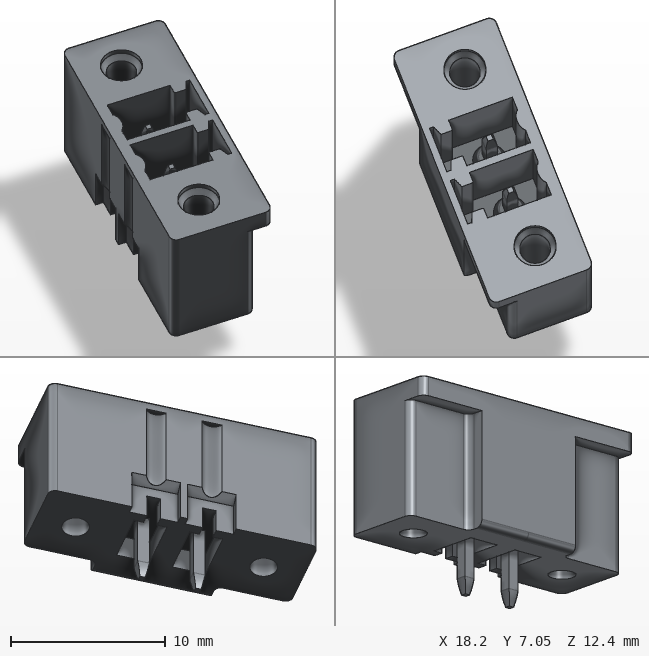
import cadquery as cq
import math


LENGTH = 18.21
DEPTH = 7.05
HEIGHT = 9.2
FRONT_Y = -3.02
BACK_Y = FRONT_Y + DEPTH
CORNER_RADIUS = 0.5

FLANGE_THICKNESS = 1.31
STEP_RADIUS = 0.5
STEP_DEPTH = 1.25
TONGUE_BACK_RADIUS = 0.5
FLANGE_Z = HEIGHT - FLANGE_THICKNESS
STEP_Y = BACK_Y - STEP_DEPTH

PITCH = 3.79
POLE_XS = (-PITCH / 2, PITCH / 2)

POCKET_WIDTH = 3.3
POCKET_HALF_DEPTH = 2.2
FLOOR_Z = 2.95
NECK_WIDTH = 1.84
NECK_EDGE_RADIUS = 0.1
NECK_END_Y = 3.0
LATCH_WIDTH = 3.15
LATCH_FLARE_END_Y = 3.28
LATCH_BACK_Y = 3.55
RIDGE_WIDTH = 1.51
RIDGE_HEIGHT = 0.3

POCKET_GAP = PITCH - POCKET_WIDTH
TONGUE_WIDTH = PITCH + POCKET_WIDTH + 2 * POCKET_GAP

COLLAR_BASE_DIAMETER = 2.19
COLLAR_TOP_DIAMETER = 1.62
COLLAR_HEIGHT = 0.82
COLLAR_EDGE_RADIUS = 0.15

GROOVE_WIDTH = 1.35
GROOVE_RADIUS = 0.8
GROOVE_TOP_Z = 8.65
NOTCH_DEPTH = 0.55
NOTCH_FRONT_Z = 2.95
NOTCH_REAR_Z = NOTCH_FRONT_Z - NOTCH_DEPTH

CAVITY_WIDTH = 2.25
CAVITY_HALF_DEPTH = 1.8
CAVITY_HEIGHT = 1.7
SLOT_WIDTH = 0.93

SCREW_SPACING = 12.78
SCREW_HOLE_DIAMETER = 1.97
SCREW_EXIT_DIAMETER = 1.8
SCREW_EXIT_HEIGHT = 1.7
SCREW_MOUTH_DIAMETER = 2.71
SCREW_MOUTH_DEPTH = 0.33
SCREW_CONE_DEPTH = 0.33

PIN_WIDTH = 0.8
PIN_THICKNESS = 0.76
PIN_END_WIDTH = 0.36
PIN_TIP_LENGTH = 1.11
PIN_BOTTOM_Z = -3.2
PIN_TOP_Z = 7.85


def box(x_range, y_range, z_range):
    """Box between two limits along each axis."""
    size = [high - low for low, high in (x_range, y_range, z_range)]
    corner = (x_range[0], y_range[0], z_range[0])
    return cq.Workplane("XY").box(*size, centered=False).translate(corner)


def pole_box(x, width, y_range, z_range):
    """Box of a given width centred on a pole."""
    return box((x - width / 2, x + width / 2), y_range, z_range)


def block():
    """Outer block with rounded upright corners and a narrower tongue under the flange."""
    body = box((-LENGTH / 2, LENGTH / 2), (FRONT_Y, BACK_Y), (0, HEIGHT))
    body = body.edges("|Z").fillet(CORNER_RADIUS)
    for side in (-1, 1):
        body = body.cut(corner_recess(side))
    return body.cut(tongue_edge_trim())


def corner_recess(side):
    """Rear corner recess beside the tongue, rounded at the side wall and filleted at the tongue."""
    outer_x = side * LENGTH / 2
    inner_x = side * TONGUE_WIDTH / 2
    round_x = outer_x - side * STEP_RADIUS
    fillet_x = inner_x + side * STEP_RADIUS
    round_start_y = STEP_Y - STEP_RADIUS
    fillet_end_y = STEP_Y + STEP_RADIUS
    arc = STEP_RADIUS * math.sqrt(0.5)
    return (
        cq.Workplane("XY")
        .moveTo(inner_x, BACK_Y)
        .lineTo(inner_x, fillet_end_y)
        .threePointArc((fillet_x - side * arc, fillet_end_y - arc), (fillet_x, STEP_Y))
        .lineTo(round_x, STEP_Y)
        .threePointArc((round_x + side * arc, round_start_y + arc), (outer_x, round_start_y))
        .lineTo(outer_x, BACK_Y)
        .close()
        .extrude(FLANGE_Z)
    )


def tongue_edge_trim():
    """Material outside the round on the rear bottom edge of the tongue."""
    radius = TONGUE_BACK_RADIUS
    corner = box((-LENGTH / 2, LENGTH / 2), (BACK_Y - radius, BACK_Y), (0, radius))
    roller = (
        cq.Workplane("YZ")
        .center(BACK_Y - radius, radius)
        .circle(radius)
        .extrude(LENGTH / 2, both=True)
    )
    return corner.cut(roller)


def pocket(x):
    """Pocket with a ridge on its front wall and a flared latch channel at its back."""
    wide = POCKET_WIDTH / 2
    neck = NECK_WIDTH / 2
    latch = LATCH_WIDTH / 2
    ridge = RIDGE_WIDTH / 2
    front = -POCKET_HALF_DEPTH
    opening = (
        cq.Workplane("XY", origin=(x, 0, FLOOR_Z))
        .moveTo(-wide, front)
        .lineTo(-ridge, front)
        .threePointArc((0, front + RIDGE_HEIGHT), (ridge, front))
        .lineTo(wide, front)
        .lineTo(wide, POCKET_HALF_DEPTH)
        .lineTo(neck, POCKET_HALF_DEPTH)
        .lineTo(neck, NECK_END_Y)
        .lineTo(latch, LATCH_FLARE_END_Y)
        .lineTo(latch, LATCH_BACK_Y)
        .lineTo(-latch, LATCH_BACK_Y)
        .lineTo(-latch, LATCH_FLARE_END_Y)
        .lineTo(-neck, NECK_END_Y)
        .lineTo(-neck, POCKET_HALF_DEPTH)
        .lineTo(-wide, POCKET_HALF_DEPTH)
        .close()
        .extrude(HEIGHT - FLOOR_Z)
    )
    for shoulder_x in (x - neck, x + neck):
        shoulder = (shoulder_x, POCKET_HALF_DEPTH, (FLOOR_Z + HEIGHT) / 2)
        nearest_edge = cq.selectors.NearestToPointSelector(shoulder)
        opening = opening.edges(nearest_edge).fillet(NECK_EDGE_RADIUS)
    return opening


def collar(x):
    """Tapered collar with a rounded top edge."""
    base = cq.Workplane("XY", origin=(x, 0, FLOOR_Z)).circle(COLLAR_BASE_DIAMETER / 2)
    cone = base.workplane(offset=COLLAR_HEIGHT).circle(COLLAR_TOP_DIAMETER / 2).loft()
    return cone.edges(">Z").fillet(COLLAR_EDGE_RADIUS)


def groove(x):
    """Round upright groove in the front face, running down into the notch."""
    centre_y = FRONT_Y - math.sqrt(GROOVE_RADIUS**2 - (GROOVE_WIDTH / 2) ** 2)
    return cq.Workplane("XY", origin=(x, centre_y, 0)).circle(GROOVE_RADIUS).extrude(GROOVE_TOP_Z)


def notch(x):
    """Notch at the foot of the front face, with a sloped ceiling."""
    return (
        cq.Workplane("YZ", origin=(x, 0, 0))
        .moveTo(FRONT_Y, 0)
        .lineTo(FRONT_Y + NOTCH_DEPTH, 0)
        .lineTo(FRONT_Y + NOTCH_DEPTH, NOTCH_REAR_Z)
        .lineTo(FRONT_Y, NOTCH_FRONT_Z)
        .close()
        .extrude(POCKET_WIDTH / 2, both=True)
    )


def underside(x):
    """Cavity under the floor and the slot that opens it to the front."""
    cavity = pole_box(x, CAVITY_WIDTH, (-CAVITY_HALF_DEPTH, CAVITY_HALF_DEPTH), (0, CAVITY_HEIGHT))
    slot = pole_box(x, SLOT_WIDTH, (FRONT_Y, 0), (0, CAVITY_HEIGHT))
    return cavity.union(slot)


def screw_hole(x):
    """Through hole with a short wide mouth, a cone and a slightly narrower exit."""
    cone_top_z = HEIGHT - SCREW_MOUTH_DEPTH
    profile = [
        (0, 0),
        (SCREW_EXIT_DIAMETER / 2, 0),
        (SCREW_EXIT_DIAMETER / 2, SCREW_EXIT_HEIGHT),
        (SCREW_HOLE_DIAMETER / 2, SCREW_EXIT_HEIGHT),
        (SCREW_HOLE_DIAMETER / 2, cone_top_z - SCREW_CONE_DEPTH),
        (SCREW_MOUTH_DIAMETER / 2, cone_top_z),
        (SCREW_MOUTH_DIAMETER / 2, HEIGHT),
        (0, HEIGHT),
    ]
    tool = cq.Workplane("XZ").polyline(profile).close().revolve(360, (0, 0, 0), (0, 1, 0))
    return tool.translate((x, 0, 0))


def make_pin(x):
    """Bar pin with flat tapers on its sides and rounded tapers on its front and back."""
    side = PIN_WIDTH / 2
    face = PIN_THICKNESS / 2
    end = PIN_END_WIDTH / 2
    low_z = PIN_BOTTOM_Z + PIN_TIP_LENGTH
    high_z = PIN_TOP_Z - PIN_TIP_LENGTH
    flat_tapers = (
        cq.Workplane("XZ")
        .moveTo(-end, PIN_BOTTOM_Z)
        .lineTo(end, PIN_BOTTOM_Z)
        .lineTo(side, low_z)
        .lineTo(side, high_z)
        .lineTo(end, PIN_TOP_Z)
        .lineTo(-end, PIN_TOP_Z)
        .lineTo(-side, high_z)
        .lineTo(-side, low_z)
        .close()
        .extrude(face, both=True)
    )
    inset = face - end
    arc_radius = (PIN_TIP_LENGTH**2 + inset**2) / (2 * inset)
    half_angle = math.asin(PIN_TIP_LENGTH / arc_radius) / 2
    arc_y = face - arc_radius * (1 - math.cos(half_angle))
    arc_rise = arc_radius * math.sin(half_angle)
    round_tapers = (
        cq.Workplane("YZ")
        .moveTo(-face, low_z)
        .threePointArc((-arc_y, low_z - arc_rise), (-end, PIN_BOTTOM_Z))
        .lineTo(end, PIN_BOTTOM_Z)
        .threePointArc((arc_y, low_z - arc_rise), (face, low_z))
        .lineTo(face, high_z)
        .threePointArc((arc_y, high_z + arc_rise), (end, PIN_TOP_Z))
        .lineTo(-end, PIN_TOP_Z)
        .threePointArc((-arc_y, high_z + arc_rise), (-face, high_z))
        .close()
        .extrude(side, both=True)
    )
    return flat_tapers.intersect(round_tapers).translate((x, 0, 0))


def make_housing(pins):
    """Housing with all its pockets and holes, fitted closely around the pins."""
    body = block()
    for x in POLE_XS:
        body = body.cut(pocket(x)).union(collar(x))
        body = body.cut(groove(x)).cut(notch(x)).cut(underside(x))
    for x in (-SCREW_SPACING / 2, SCREW_SPACING / 2):
        body = body.cut(screw_hole(x))
    for pin in pins:
        body = body.cut(pin)
    return body


pins = [make_pin(x) for x in POLE_XS]
housing = make_housing(pins)

result = cq.Compound.makeCompound([housing.val(), *[pin.val() for pin in pins]])